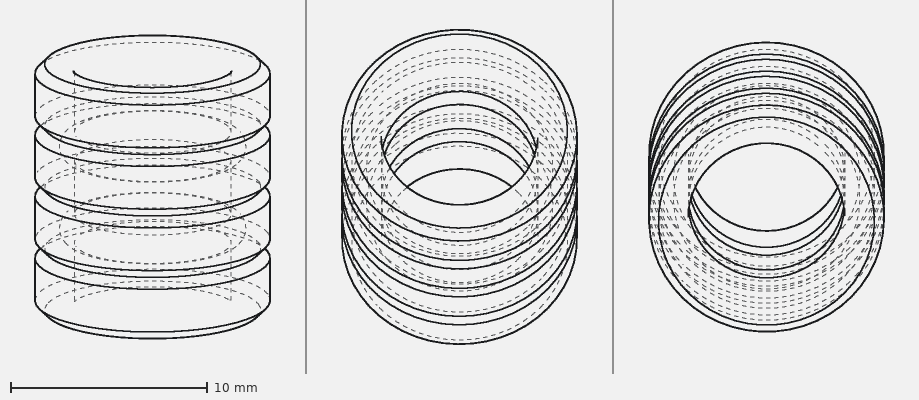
import cadquery as cq

total_height = 13.0
outer_diameter = 12.0
bore_diameter = 8.0
edge_size = 0.5

band_count = 4
band_height = total_height / band_count

bore_land_count = 3
bore_groove_radius = 0.75


def make_band(base_z):
    """Solid disc with both rims chamfered."""
    band = cq.Workplane("XY", origin=(0, 0, base_z)).circle(outer_diameter / 2).extrude(band_height)
    return band.faces("<Z or >Z").edges().chamfer(edge_size)


def make_bore_groove(center_z):
    """Ring of circular section, centred on the bore wall."""
    section = cq.Workplane("XZ").center(bore_diameter / 2, center_z).circle(bore_groove_radius)
    return section.revolve(360, (-bore_diameter / 2, 0), (-bore_diameter / 2, 1))


body = make_band(0)
for band_index in range(1, band_count):
    body = body.union(make_band(band_index * band_height))

body = body.faces(">Z").workplane(origin=(0, 0, 0)).hole(bore_diameter)
body = body.faces("<Z or >Z").edges(cq.selectors.RadiusNthSelector(0)).fillet(edge_size)

for groove_index in range(1, bore_land_count):
    body = body.cut(make_bore_groove(groove_index * total_height / bore_land_count))

result = body